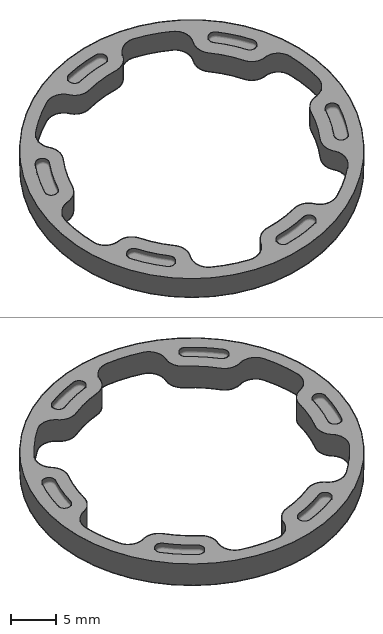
import cadquery as cq
import math

outer_radius = 38.1 / 2
thickness = 3.175
lobe_radius = 14.2875
window_radius = 17.4625

repeat_count = 6
repeat_angle = 360 / repeat_count
first_window_angle = 90
first_slot_angle = 0
window_width = 8.05
corner_fillet = 2.05

slot_radius = (lobe_radius + outer_radius) / 2
slot_width = 1.5875
slot_half_angle = 6.85
slot_depth = slot_width / 2
slot_floor_fillet = 0.25


def polar(radius, angle):
    """Point at the given radius and angle in degrees."""
    radians = math.radians(angle)
    return (radius * math.cos(radians), radius * math.sin(radians))


def turn(solid, angle):
    """Rotate a solid about the ring axis."""
    return solid.rotate((0, 0, 0), (0, 0, 1), angle)


def make_window():
    """Cutter along +X: a parallel-sided bar with a round outer face."""
    bar = cq.Workplane("XY").rect(2 * outer_radius, window_width).extrude(thickness)
    bar = bar.translate((outer_radius, 0, 0))
    round_limit = cq.Workplane("XY").circle(window_radius).extrude(thickness)
    return bar.intersect(round_limit)


def make_ring():
    ring = cq.Workplane("XY").circle(outer_radius).circle(lobe_radius).extrude(thickness)
    ring = turn(ring, first_window_angle)
    window = make_window()
    for i in range(repeat_count):
        ring = ring.cut(turn(window, first_window_angle + i * repeat_angle))
    inside_rim = cq.selectors.BoxSelector(
        (-window_radius, -window_radius, 0),
        (window_radius, window_radius, thickness),
    )
    return ring.edges("|Z").edges(inside_rim).fillet(corner_fillet)


def make_slot():
    """Cutter on +X: an arc-shaped slot with round ends and a rounded floor edge."""
    inner = slot_radius - slot_width / 2
    outer = slot_radius + slot_width / 2
    end_centre = polar(slot_radius, slot_half_angle)
    tip_step = polar(slot_width / 2, slot_half_angle + 90)
    tip_x = end_centre[0] + tip_step[0]
    tip_y = end_centre[1] + tip_step[1]
    slot = (
        cq.Workplane("XY", origin=(0, 0, thickness - slot_depth))
        .moveTo(*polar(inner, -slot_half_angle))
        .threePointArc(polar(inner, 0), polar(inner, slot_half_angle))
        .threePointArc((tip_x, tip_y), polar(outer, slot_half_angle))
        .threePointArc(polar(outer, 0), polar(outer, -slot_half_angle))
        .threePointArc((tip_x, -tip_y), polar(inner, -slot_half_angle))
        .close()
        .extrude(slot_depth)
    )
    return slot.faces("<Z").edges().fillet(slot_floor_fillet)


def cut_slots(ring):
    slot = make_slot()
    for i in range(repeat_count):
        ring = ring.cut(turn(slot, first_slot_angle + i * repeat_angle))
    return ring


result = cut_slots(make_ring())